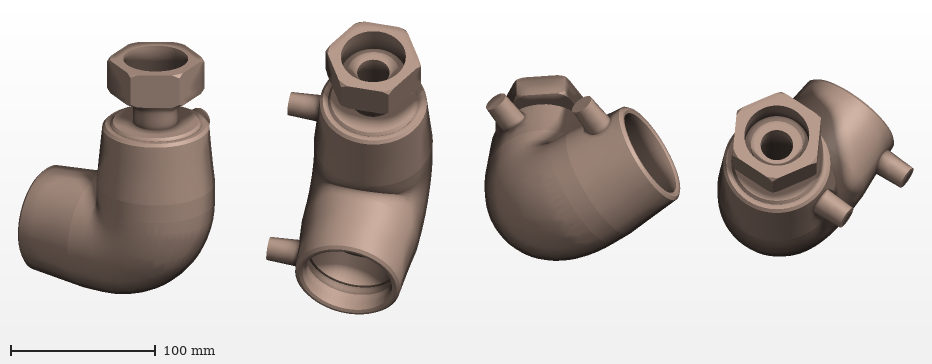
import cadquery as cq
import math

body_radius = 82 / 2
arm_length = 90
bend_radius = 33
straight_end = 46.3
neck_radius = 37
end_chamfer = 2

passage_radius = 53.5 / 2
socket_radius = 63 / 2
socket_depth = 48
mouth_chamfer_radial = 2
mouth_chamfer_depth = 1.2
groove_start = 14.8
groove_end = 23
groove_radius = socket_radius + 2

pin_tip_y = 59
pin_root_y = 34
pin_tip_diameter = 16.2
pin_taper_angle = 3.2
pin_position = 72

adapter_bore = 22.42
plug_height = 2
plug_chamfer = 1.9
stem_diameter = 31.39
part_top = 139
nut_height = 24.4
nut_flats = 58.29
nut_chamfer = 2.2
nut_bore = 44.84
nut_floor_depth = 19.4
seat_diameter = 35.88
seat_height = 1.9

socket_floor = arm_length - socket_depth
plug_top = arm_length + plug_height
nut_bottom = part_top - nut_height
nut_floor = part_top - nut_floor_depth


def cylinder(radius, bottom, top):
    return cq.Workplane("XY").workplane(offset=bottom).circle(radius).extrude(top - bottom)


def toward_minus_x(shape):
    """Turn a shape built along +Z so that it points along -X."""
    return shape.rotate((0, 0, 0), (0, 1, 0), -90)


def sweep_bend(section):
    """Turn a section drawn at the end of the -X arm through the bend, up to the +Z arm."""
    return section.revolve(90, (1, bend_radius), (-1, bend_radius))


def bend_section():
    """Sketch plane across the -X arm where the bend begins, centred on the arm axis."""
    return cq.Workplane("YZ", origin=(-bend_radius, 0, 0))


def make_arm():
    """Solid round arm along +Z that narrows as a cone to a chamfered end."""
    neck_end = arm_length - end_chamfer
    return (
        cq.Workplane("XZ")
        .moveTo(0, bend_radius)
        .lineTo(body_radius, bend_radius)
        .lineTo(body_radius, straight_end)
        .lineTo(neck_radius, neck_end)
        .lineTo(neck_radius - end_chamfer, arm_length)
        .lineTo(0, arm_length)
        .close()
        .revolve(360, (0, 0), (0, 1))
    )


def make_bend():
    """Quarter turn of the body circle, cut off at the bend axis, which lies inside the circle."""
    half_chord = math.sqrt(body_radius**2 - bend_radius**2)
    section = (
        bend_section()
        .moveTo(-half_chord, bend_radius)
        .threePointArc((0, -body_radius), (half_chord, bend_radius))
        .close()
    )
    return sweep_bend(section)


def make_passage():
    """Round passage through the bend, running straight into both arms."""
    straight = cylinder(passage_radius, bend_radius, socket_floor)
    bend = sweep_bend(bend_section().circle(passage_radius))
    return bend.union(straight).union(toward_minus_x(straight))


def make_socket():
    """Socket bore with a chamfered mouth and an internal ring groove, along +Z."""
    groove_bottom = arm_length - groove_end
    groove_top = arm_length - groove_start
    return (
        cq.Workplane("XZ")
        .moveTo(0, socket_floor)
        .lineTo(socket_radius, socket_floor)
        .lineTo(socket_radius, groove_bottom)
        .lineTo(groove_radius, groove_bottom)
        .lineTo(groove_radius, groove_top)
        .lineTo(socket_radius, groove_top)
        .lineTo(socket_radius, arm_length - mouth_chamfer_depth)
        .lineTo(socket_radius + mouth_chamfer_radial, arm_length)
        .lineTo(0, arm_length)
        .close()
        .revolve(360, (0, 0), (0, 1))
    )


def make_pin(x, z):
    """Terminal pin that tapers from its tip at +Y down to a wider root in the body wall."""
    return (
        cq.Workplane("XZ", origin=(x, pin_tip_y, z))
        .circle(pin_tip_diameter / 2)
        .extrude(pin_tip_y - pin_root_y, taper=-pin_taper_angle)
    )


def make_nut():
    """Hexagon nut with two flats facing +X and -X and its corners chamfered at both ends."""
    across_corners = nut_flats / math.cos(math.pi / 6)
    hexagon = (
        cq.Workplane("XY")
        .workplane(offset=nut_bottom)
        .transformed(rotate=(0, 0, 90))
        .polygon(6, across_corners)
        .extrude(nut_height)
    )
    corner_cone = cylinder(across_corners / 2, nut_bottom, part_top).edges().chamfer(nut_chamfer)
    return hexagon.intersect(corner_cone).cut(cylinder(nut_bore / 2, nut_floor, part_top))


def make_adapter():
    """Chamfered plug, stem and nut, with a raised round seat on the nut floor."""
    plug = cylinder(socket_radius, arm_length, plug_top).faces(">Z").edges().chamfer(plug_chamfer)
    stem = cylinder(stem_diameter / 2, plug_top, nut_bottom)
    seat = cylinder(seat_diameter / 2, nut_floor, nut_floor + seat_height)
    return plug.union(stem).union(make_nut()).union(seat)


arm = make_arm()
body = make_bend().union(arm).union(toward_minus_x(arm))
body = body.union(make_pin(0, pin_position)).union(make_pin(-pin_position, 0))
body = body.cut(make_passage()).cut(toward_minus_x(make_socket()))

result = body.union(make_adapter()).cut(cylinder(adapter_bore / 2, socket_floor, part_top))